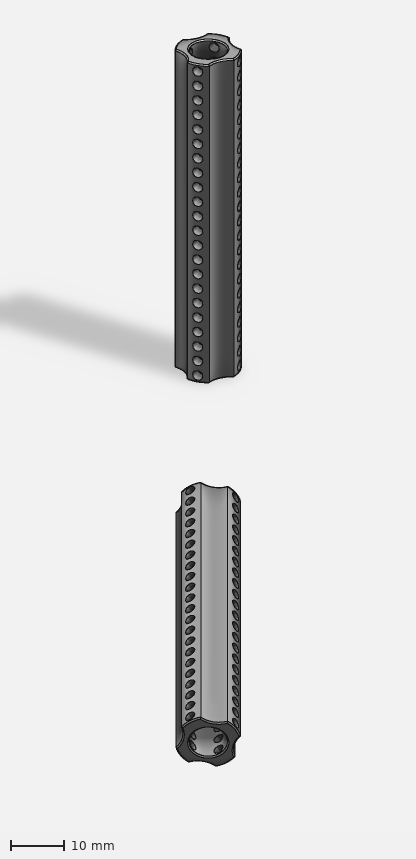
import cadquery as cq
import math

LENGTH = 68.75
OUTER_DIAMETER = 12.5
BORE_DIAMETER = 7.2
LOBE_COUNT = 4
LOBE_WIDTH = 4.4
FLUTE_WALL = 1.4
HOLE_DIAMETER = 2.0
HOLES_PER_LOBE = 22
END_CHAMFER = 0.3
BORE_CHAMFER = 0.3

OUTER_RADIUS = OUTER_DIAMETER / 2
BORE_RADIUS = BORE_DIAMETER / 2
VALLEY_RADIUS = BORE_RADIUS + FLUTE_WALL
LOBE_HALF_ANGLE = math.asin(LOBE_WIDTH / 2 / OUTER_RADIUS)
LOBE_STEP = 2 * math.pi / LOBE_COUNT
HOLE_PITCH = LENGTH / HOLES_PER_LOBE


def polar(radius, angle):
    """Point in the cross-section at a distance and angle from the tube axis."""
    return (radius * math.cos(angle), radius * math.sin(angle))


def fluted_bar():
    """Solid bar with round lobes on the X and Y axes and concave flutes between them."""
    outline = cq.Workplane("XY").moveTo(*polar(OUTER_RADIUS, -LOBE_HALF_ANGLE))
    for lobe in range(LOBE_COUNT):
        axis = lobe * LOBE_STEP
        lobe_crest = polar(OUTER_RADIUS, axis)
        lobe_end = polar(OUTER_RADIUS, axis + LOBE_HALF_ANGLE)
        flute_bottom = polar(VALLEY_RADIUS, axis + LOBE_STEP / 2)
        next_lobe = polar(OUTER_RADIUS, axis + LOBE_STEP - LOBE_HALF_ANGLE)
        outline = outline.threePointArc(lobe_crest, lobe_end)
        outline = outline.threePointArc(flute_bottom, next_lobe)
    bar = outline.close().extrude(LENGTH)
    return bar.faces("<Z or >Z").chamfer(END_CHAMFER)


def bore():
    """Through bore, widened by a chamfer at both ends."""
    cutter = cq.Workplane("XY").circle(BORE_RADIUS).extrude(LENGTH)
    mouth_radius = BORE_RADIUS + BORE_CHAMFER
    lower_mouth = cq.Solid.makeCone(mouth_radius, BORE_RADIUS, BORE_CHAMFER)
    upper_mouth = lower_mouth.mirror("XY", (0, 0, LENGTH / 2))
    return cutter.union(lower_mouth).union(upper_mouth)


def cross_holes(plane):
    """One row of evenly spaced holes running right through two opposite lobes."""
    centers = [(0, (index + 0.5) * HOLE_PITCH) for index in range(HOLES_PER_LOBE)]
    holes = cq.Workplane(plane).pushPoints(centers).circle(HOLE_DIAMETER / 2)
    return holes.extrude(OUTER_RADIUS, both=True)


result = fluted_bar().cut(bore())
for row_plane in ("XZ", "YZ"):
    result = result.cut(cross_holes(row_plane))